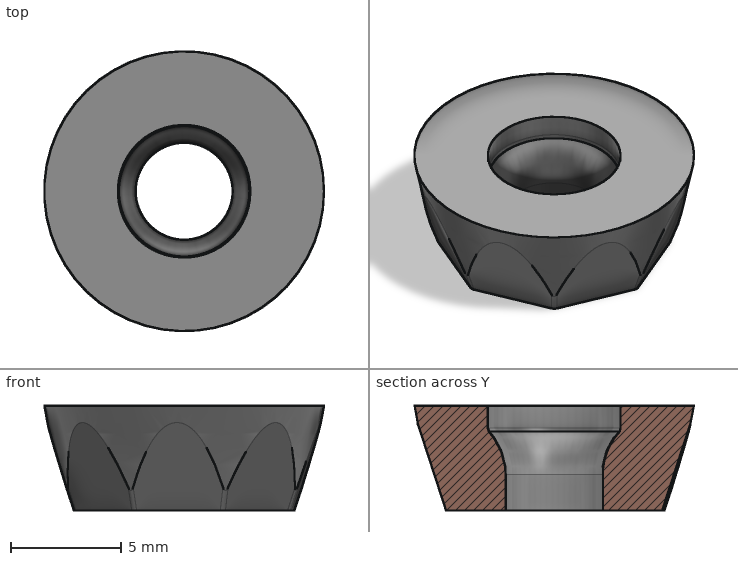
import cadquery as cq
import math

top_radius = 6.35
height = 4.76
clearance_angle = 11.0

flat_count = 8
flat_apothem = 4.9
flat_tilt = 18.0
flat_corner_radius = 0.34
first_flat_angle = -3.0

mouth_radius = 3.01
mouth_depth = 1.0
seat_radius = 2.96
seat_depth = 1.17
throat_radius = 2.2
throat_depth = 3.11


def make_body():
    base_radius = top_radius - height * math.tan(math.radians(clearance_angle))
    return cq.Workplane("XY").add(
        cq.Solid.makeCone(base_radius, top_radius, height)
    )


def make_flat_envelope():
    """Octagonal pyramid, widening upward, with rounded edges between flats."""
    half_corner = math.radians(180.0 / flat_count)
    top_apothem = flat_apothem + height * math.tan(math.radians(flat_tilt))

    def octagon(z, apothem):
        return (
            cq.Workplane("XY", origin=(0, 0, z))
            .polygon(flat_count, 2 * apothem / math.cos(half_corner))
            .wires()
            .val()
        )

    pyramid = cq.Solid.makeLoft([octagon(0, flat_apothem), octagon(height, top_apothem)], True)
    rounded = cq.Workplane("XY").add(pyramid).edges("not(#Z)")
    rounded = rounded.fillet(flat_corner_radius)
    turn = 180.0 / flat_count + first_flat_angle
    return rounded.rotate((0, 0, 0), (0, 0, 1), turn)


def make_screw_hole():
    """Cylindrical mouth, short taper, convex seat tangent to the throat."""
    seat_step = seat_radius - throat_radius
    seat_drop = throat_depth - seat_depth
    arc_radius = (seat_step**2 + seat_drop**2) / (2 * seat_step)
    half_sweep = math.asin(seat_drop / arc_radius) / 2
    throat_z = height - throat_depth
    arc_middle = (
        throat_radius + arc_radius * (1 - math.cos(half_sweep)),
        throat_z + arc_radius * math.sin(half_sweep),
    )
    return (
        cq.Workplane("XZ")
        .moveTo(0, 0)
        .lineTo(throat_radius, 0)
        .lineTo(throat_radius, throat_z)
        .threePointArc(arc_middle, (seat_radius, height - seat_depth))
        .lineTo(mouth_radius, height - mouth_depth)
        .lineTo(mouth_radius, height)
        .lineTo(0, height)
        .close()
        .revolve(360, (0, 0, 0), (0, 1, 0))
    )


result = make_body().intersect(make_flat_envelope()).cut(make_screw_hole())